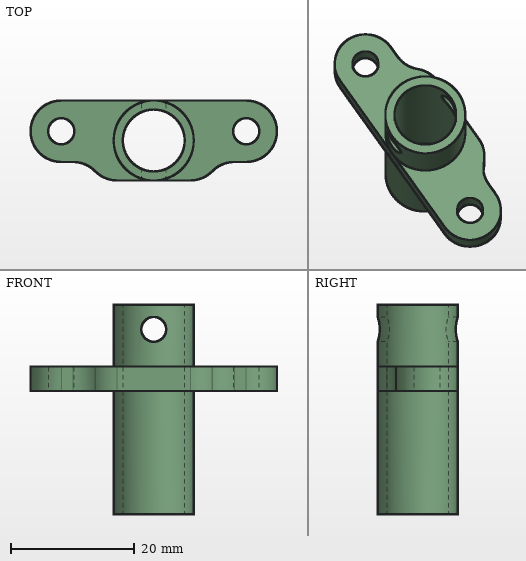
import cadquery as cq

tube_diameter = 13.0
bore_diameter = 10.0
tube_above_flange = 10.0
tube_below_flange = 20.0

flange_thickness = 4.0
mount_spacing = 30.0
mount_hole_diameter = 4.2
ear_radius = 5.0
belly_flat_half_length = 8.0
belly_fillet = 5.0

pin_hole_diameter = 4.0
pin_hole_below_top = 4.0

tube_radius = tube_diameter / 2
tube_length = tube_below_flange + flange_thickness + tube_above_flange
tube_top = flange_thickness + tube_above_flange
mount_x = mount_spacing / 2
flange_back = tube_radius
flange_front = -tube_radius
mount_y = flange_back - ear_radius
ear_front = mount_y - ear_radius
belly_base_half_length = belly_flat_half_length + (ear_front - flange_front)


def make_tube():
    return (
        cq.Workplane("XY")
        .workplane(offset=-tube_below_flange)
        .circle(tube_radius)
        .extrude(tube_length)
    )


def make_flange():
    """Plate with a round ear at each end and a smoothly blended belly at the front."""
    plate = (
        cq.Workplane("XY")
        .moveTo(-mount_x, flange_back)
        .lineTo(mount_x, flange_back)
        .threePointArc((mount_x + ear_radius, mount_y), (mount_x, ear_front))
        .lineTo(belly_base_half_length, ear_front)
        .lineTo(belly_flat_half_length, flange_front)
        .lineTo(-belly_flat_half_length, flange_front)
        .lineTo(-belly_base_half_length, ear_front)
        .lineTo(-mount_x, ear_front)
        .threePointArc((-mount_x - ear_radius, mount_y), (-mount_x, flange_back))
        .close()
        .extrude(flange_thickness)
    )
    corner_points = [
        (side * half_length, y, flange_thickness / 2)
        for side in (-1, 1)
        for half_length, y in (
            (belly_base_half_length, ear_front),
            (belly_flat_half_length, flange_front),
        )
    ]
    corners = [plate.edges(cq.selectors.NearestToPointSelector(p)).val() for p in corner_points]
    return plate.newObject(corners).fillet(belly_fillet)


def make_bore():
    return (
        cq.Workplane("XY")
        .workplane(offset=-tube_below_flange)
        .circle(bore_diameter / 2)
        .extrude(tube_length)
    )


def make_mount_holes():
    return (
        cq.Workplane("XY")
        .pushPoints([(-mount_x, mount_y), (mount_x, mount_y)])
        .circle(mount_hole_diameter / 2)
        .extrude(flange_thickness)
    )


def make_pin_hole():
    return (
        cq.Workplane("XZ")
        .center(0, tube_top - pin_hole_below_top)
        .circle(pin_hole_diameter / 2)
        .extrude(tube_radius, both=True)
    )


result = (
    make_tube()
    .union(make_flange())
    .cut(make_bore())
    .cut(make_mount_holes())
    .cut(make_pin_hole())
)